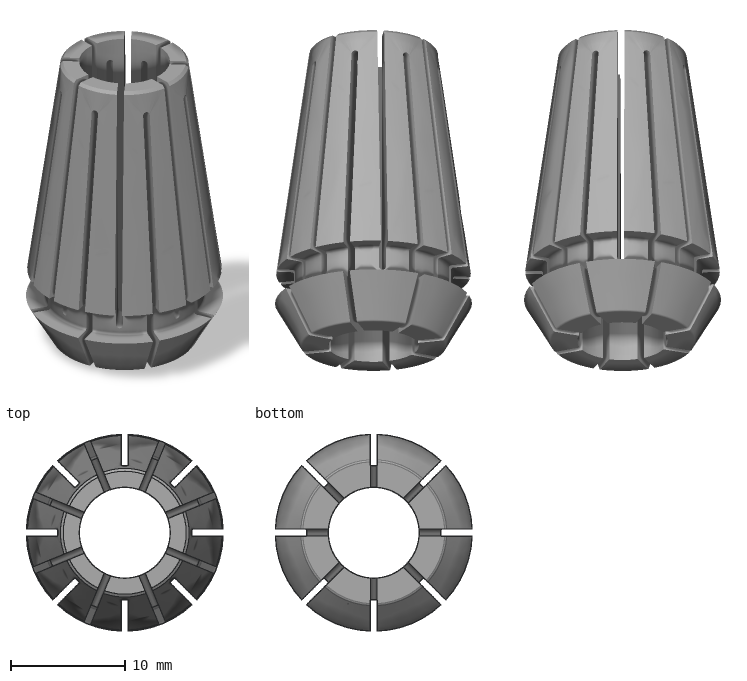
import cadquery as cq
import math

LENGTH = 27.5
BORE_DIAMETER = 7.94

COLLAR_RADIUS = 8.625
COLLAR_HEIGHT = 3.97
COLLAR_ANGLE = 30.0
COLLAR_EDGE_FILLET = 0.2

GROOVE_RADIUS = 6.96
GROOVE_WIDTH = 2.73
GROOVE_FILLET = 0.22

CONE_RADIUS = 8.52
CONE_HALF_ANGLE = 8.0
TIP_CHAMFER = 0.25

SLOT_COUNT = 8
SLOT_PITCH = 360.0 / SLOT_COUNT
SLOT_WIDTH = 0.61
LOWER_SLOT_TOP = 25.5
UPPER_SLOT_BOTTOM = 4.58
SLOT_OVERRUN = 1.0

CONE_BASE = COLLAR_HEIGHT + GROOVE_WIDTH
COLLAR_BASE_RADIUS = COLLAR_RADIUS - COLLAR_HEIGHT * math.tan(math.radians(COLLAR_ANGLE))
CHAMFER_BASE = LENGTH - TIP_CHAMFER
CONE_TAPER = (CHAMFER_BASE - CONE_BASE) * math.tan(math.radians(CONE_HALF_ANGLE))
CONE_TIP_RADIUS = CONE_RADIUS - CONE_TAPER


def collet_blank():
    """Revolved body with collar, groove, clamping cone and bore, its lower rim rounded."""
    bore_radius = BORE_DIAMETER / 2
    fillet_edge_radius = GROOVE_RADIUS + GROOVE_FILLET
    arc_offset = GROOVE_FILLET * (1 - math.sqrt(0.5))
    profile = (
        cq.Workplane("XZ")
        .moveTo(bore_radius, 0)
        .lineTo(COLLAR_BASE_RADIUS, 0)
        .lineTo(COLLAR_RADIUS, COLLAR_HEIGHT)
        .lineTo(fillet_edge_radius, COLLAR_HEIGHT)
        .threePointArc(
            (GROOVE_RADIUS + arc_offset, COLLAR_HEIGHT + arc_offset),
            (GROOVE_RADIUS, COLLAR_HEIGHT + GROOVE_FILLET),
        )
        .lineTo(GROOVE_RADIUS, CONE_BASE - GROOVE_FILLET)
        .threePointArc(
            (GROOVE_RADIUS + arc_offset, CONE_BASE - arc_offset),
            (fillet_edge_radius, CONE_BASE),
        )
        .lineTo(CONE_RADIUS, CONE_BASE)
        .lineTo(CONE_TIP_RADIUS, CHAMFER_BASE)
        .lineTo(CONE_TIP_RADIUS - TIP_CHAMFER, LENGTH)
        .lineTo(bore_radius, LENGTH)
        .close()
    )
    body = profile.revolve(360, (0, 0, 0), (0, 1, 0))
    outermost = cq.selectors.RadiusNthSelector(-1)
    return body.faces("<Z").edges(outermost).fillet(COLLAR_EDGE_FILLET)


def radial_slot(open_end, round_end, angle):
    """Slot cutter from the axis outwards, with a full round at its closed end."""
    half_width = SLOT_WIDTH / 2
    direction = math.copysign(1, round_end - open_end)
    arc_start = round_end - direction * half_width
    return (
        cq.Workplane("YZ")
        .moveTo(-half_width, open_end)
        .lineTo(-half_width, arc_start)
        .threePointArc((0, round_end), (half_width, arc_start))
        .lineTo(half_width, open_end)
        .close()
        .extrude(COLLAR_RADIUS + SLOT_OVERRUN)
        .rotate((0, 0, 0), (0, 0, 1), angle)
    )


result = collet_blank()
for index in range(SLOT_COUNT):
    lower_angle = index * SLOT_PITCH
    upper_angle = lower_angle + SLOT_PITCH / 2
    result = result.cut(radial_slot(-SLOT_OVERRUN, LOWER_SLOT_TOP, lower_angle))
    result = result.cut(radial_slot(LENGTH + SLOT_OVERRUN, UPPER_SLOT_BOTTOM, upper_angle))